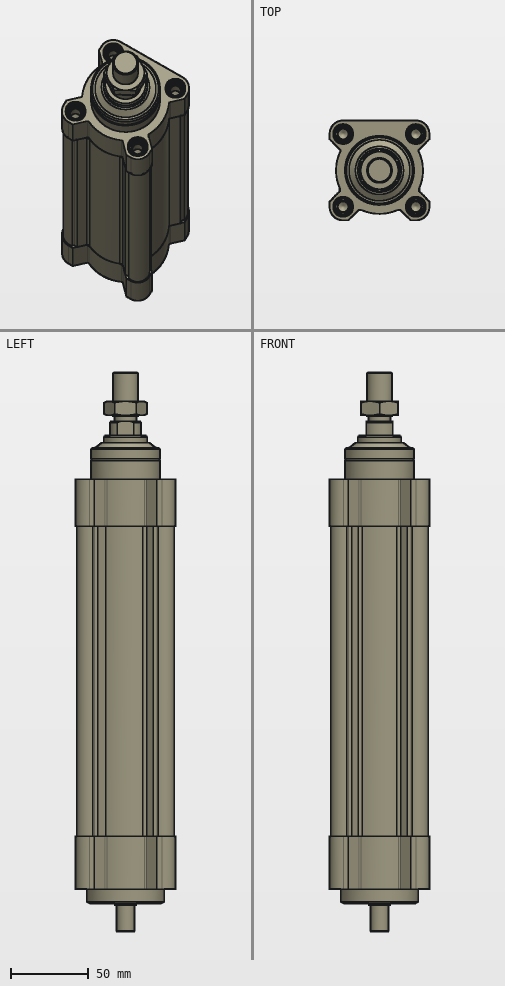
import cadquery as cq
import math

SHAFT_END_Z = 0.0
HUB_Z = 17.0
PILOT_BOTTOM_Z = 18.0
REAR_CAP_BOTTOM_Z = 27.2
TUBE_BOTTOM_Z = 61.0
TUBE_TOP_Z = 260.0
FRONT_CAP_TOP_Z = 290.0
GROOVE_Z = 302.0
COLLAR_TOP_Z = 310.0
WIPER_CONE_TOP_Z = 313.5
WIPER_TOP_Z = 318.0
ROD_SHOULDER_Z = 327.0
NECK_TOP_Z = 330.0
NUT_BOTTOM_Z = 331.0
NUT_HEIGHT = 9.0
ROD_END_Z = 358.5

CAP_WIDTH = 64.0
CAP_HALF_WIDTH = CAP_WIDTH / 2
TUBE_WIDTH = 62.7
TUBE_HALF_WIDTH = TUBE_WIDTH / 2
BODY_RADIUS = 28.0
BOLT_OFFSET = 23.3
CAP_FLAT_END = 20.0
CAP_VALLEY_FILLET = 1.0
TUBE_FLAT_INNER = 18.0
TUBE_LUG_ARC_END = 21.0
TUBE_FLAT_LEVEL = 30.0
TUBE_VALLEY_FLAT_END = 11.0

BOLT_RECESS_STEPS = [
    (13.0, 1.0),
    (12.0, 2.0),
    (10.0, 3.5),
    (8.0, 5.0),
    (6.8, 14.5),
]
DRILL_TIP_ANGLE = 118.0

COLLAR_DIAMETER = 44.5
COLLAR_CHAMFER = 1.0
GROOVE_WIDTH = 1.0
GROOVE_DEPTH = 0.5
WIPER_BASE_DIAMETER = 39.0
WIPER_CONE_TOP_DIAMETER = 31.0
WIPER_DIAMETER = 28.0
WIPER_CHAMFER = 1.0

ROD_DIAMETER = 20.0
ROD_SHOULDER_CHAMFER = 0.7
WRENCH_FLAT_WIDTH = 17.2
NECK_DIAMETER = 14.5
THREAD_DIAMETER = 16.0
THREAD_CHAMFER = 0.7
NUT_ACROSS_FLATS = 24.0
NUT_CHAMFER_ANGLE = 25.0

PILOT_DIAMETER = 50.0
PILOT_CHAMFER_WIDTH = 1.0
PILOT_CHAMFER_HEIGHT = 2.0
HUB_DIAMETER = 14.0
SHAFT_DIAMETER = 12.0
SHAFT_CHAMFER = 0.5

BOLT_POSITIONS = [(x, y) for x in (-BOLT_OFFSET, BOLT_OFFSET) for y in (-BOLT_OFFSET, BOLT_OFFSET)]


def arc_middle(centre, start, end):
    """Point halfway along the short arc about centre from start to end."""
    radius = math.dist(centre, start)
    dx = start[0] + end[0] - 2 * centre[0]
    dy = start[1] + end[1] - 2 * centre[1]
    length = math.hypot(dx, dy)
    return (centre[0] + radius * dx / length, centre[1] + radius * dy / length)


def valley_on_slope(slope_offset):
    """Where the body circle meets the 45 degree line y = x + slope_offset; y is the larger."""
    x = (-slope_offset + math.sqrt(2 * BODY_RADIUS**2 - slope_offset**2)) / 2
    return (x, x + slope_offset)


def cylinder(diameter, bottom, top):
    return cq.Workplane("XY").workplane(offset=bottom).circle(diameter / 2).extrude(top - bottom)


def cap_block(bottom, top):
    """Cap body: round middle, four bolt lugs, and a straight +Y side."""
    valley_x, valley_y = valley_on_slope(CAP_HALF_WIDTH - CAP_FLAT_END)
    body_start = (0, -BODY_RADIUS)
    front_valley = (valley_x, -valley_y)
    lug_centre = (BOLT_OFFSET, BOLT_OFFSET)
    lug_start = (BOLT_OFFSET, CAP_HALF_WIDTH)
    lug_end = (CAP_HALF_WIDTH, BOLT_OFFSET)
    lug_x, lug_y = arc_middle(lug_centre, lug_start, lug_end)
    half = (
        cq.Workplane("XY")
        .workplane(offset=bottom)
        .moveTo(*body_start)
        .threePointArc(arc_middle((0, 0), body_start, front_valley), front_valley)
        .lineTo(CAP_FLAT_END, -CAP_HALF_WIDTH)
        .lineTo(BOLT_OFFSET, -CAP_HALF_WIDTH)
        .threePointArc((lug_x, -lug_y), (CAP_HALF_WIDTH, -BOLT_OFFSET))
        .lineTo(CAP_HALF_WIDTH, -CAP_FLAT_END)
        .lineTo(valley_y, -valley_x)
        .threePointArc((BODY_RADIUS, 0), (valley_y, valley_x))
        .lineTo(CAP_HALF_WIDTH, CAP_FLAT_END)
        .lineTo(*lug_end)
        .threePointArc((lug_x, lug_y), lug_start)
        .lineTo(0, CAP_HALF_WIDTH)
        .close()
        .extrude(top - bottom)
    )
    valleys = [front_valley, (valley_y, -valley_x), (valley_y, valley_x)]
    middle = (bottom + top) / 2
    for x, y in valleys:
        half = half.edges(cq.selectors.NearestToPointSelector((x, y, middle))).fillet(CAP_VALLEY_FILLET)
    return half.union(half.mirror("YZ")).clean()


def bolt_recess():
    """Stepped recess with a drill point, cut into one front cap lug from its top."""
    profile = cq.Workplane("XZ").moveTo(0, 0)
    level = 0.0
    for diameter, depth in BOLT_RECESS_STEPS:
        profile = profile.lineTo(diameter / 2, -level).lineTo(diameter / 2, -depth)
        level = depth
    hole_radius = BOLT_RECESS_STEPS[-1][0] / 2
    tip_height = hole_radius / math.tan(math.radians(DRILL_TIP_ANGLE / 2))
    return profile.lineTo(0, -level - tip_height).close().revolve(360, (0, 0, 0), (0, 1, 0))


def make_front_cap():
    cap = cap_block(TUBE_TOP_Z, FRONT_CAP_TOP_Z)
    for x, y in BOLT_POSITIONS:
        cap = cap.cut(bolt_recess().translate((x, y, FRONT_CAP_TOP_Z)))
    collar = cylinder(COLLAR_DIAMETER, FRONT_CAP_TOP_Z, COLLAR_TOP_Z).faces(">Z").chamfer(COLLAR_CHAMFER)
    groove = cylinder(COLLAR_DIAMETER, GROOVE_Z, GROOVE_Z + GROOVE_WIDTH)
    groove = groove.cut(cylinder(COLLAR_DIAMETER - 2 * GROOVE_DEPTH, GROOVE_Z, GROOVE_Z + GROOVE_WIDTH))
    cone = cq.Workplane(
        cq.Solid.makeCone(
            WIPER_BASE_DIAMETER / 2,
            WIPER_CONE_TOP_DIAMETER / 2,
            WIPER_CONE_TOP_Z - COLLAR_TOP_Z,
            cq.Vector(0, 0, COLLAR_TOP_Z),
        )
    )
    wiper = cylinder(WIPER_DIAMETER, WIPER_CONE_TOP_Z, WIPER_TOP_Z).faces(">Z").chamfer(WIPER_CHAMFER)
    rod_bore = cylinder(ROD_DIAMETER, TUBE_TOP_Z, WIPER_TOP_Z)
    return cap.union(collar.cut(groove)).union(cone).union(wiper).cut(rod_bore)


def make_tube():
    """Profile tube: stepped lugs, straight +Y side, and flats beside the lower lugs."""
    slope_offset = TUBE_FLAT_LEVEL - TUBE_FLAT_INNER
    flat_x = TUBE_VALLEY_FLAT_END
    flat_y = math.sqrt(BODY_RADIUS**2 - flat_x**2)
    body_start = (0, -BODY_RADIUS)
    front_flat_start = (flat_x, -flat_y)
    sharp_x, sharp_y = valley_on_slope(slope_offset)
    lug_radius = TUBE_HALF_WIDTH - BOLT_OFFSET
    step_x = TUBE_LUG_ARC_END
    step_y = BOLT_OFFSET + math.sqrt(lug_radius**2 - (BOLT_OFFSET - step_x) ** 2)
    step_radius = step_y - TUBE_FLAT_LEVEL
    flat_end_x = step_x - step_radius
    step_mid_x = flat_end_x + step_radius / math.sqrt(2)
    step_mid_y = step_y - step_radius / math.sqrt(2)
    lug_middle = BOLT_OFFSET + lug_radius / math.sqrt(2)
    half = (
        cq.Workplane("XY")
        .workplane(offset=TUBE_BOTTOM_Z)
        .moveTo(*body_start)
        .threePointArc(arc_middle((0, 0), body_start, front_flat_start), front_flat_start)
        .lineTo(flat_y - slope_offset, -flat_y)
        .lineTo(TUBE_FLAT_INNER, -TUBE_FLAT_LEVEL)
        .lineTo(flat_end_x, -TUBE_FLAT_LEVEL)
        .threePointArc((step_mid_x, -step_mid_y), (step_x, -step_y))
        .threePointArc((lug_middle, -lug_middle), (step_y, -step_x))
        .threePointArc((step_mid_y, -step_mid_x), (TUBE_FLAT_LEVEL, -flat_end_x))
        .lineTo(TUBE_FLAT_LEVEL, -TUBE_FLAT_INNER)
        .lineTo(flat_y, slope_offset - flat_y)
        .lineTo(flat_y, -flat_x)
        .threePointArc((BODY_RADIUS, 0), (sharp_y, sharp_x))
        .lineTo(TUBE_FLAT_LEVEL, TUBE_FLAT_INNER)
        .lineTo(TUBE_FLAT_LEVEL, flat_end_x)
        .threePointArc((step_mid_y, step_mid_x), (step_y, step_x))
        .threePointArc((lug_middle, lug_middle), (BOLT_OFFSET, TUBE_HALF_WIDTH))
        .lineTo(0, TUBE_HALF_WIDTH)
        .close()
        .extrude(TUBE_TOP_Z - TUBE_BOTTOM_Z)
    )
    return half.union(half.mirror("YZ")).clean()


def make_rear_cap():
    cap = cap_block(REAR_CAP_BOTTOM_Z, TUBE_BOTTOM_Z)
    pilot = cylinder(PILOT_DIAMETER, PILOT_BOTTOM_Z, REAR_CAP_BOTTOM_Z)
    pilot = pilot.faces("<Z").chamfer(PILOT_CHAMFER_WIDTH, PILOT_CHAMFER_HEIGHT)
    hub = cylinder(HUB_DIAMETER, HUB_Z, PILOT_BOTTOM_Z)
    shaft = cylinder(SHAFT_DIAMETER, SHAFT_END_Z, HUB_Z).faces("<Z").chamfer(SHAFT_CHAMFER)
    return cap.union(pilot).union(hub).union(shaft)


def make_piston_rod():
    rod = cylinder(ROD_DIAMETER, TUBE_TOP_Z, ROD_SHOULDER_Z).faces(">Z").chamfer(ROD_SHOULDER_CHAMFER)
    flats = (
        cq.Workplane("XY")
        .workplane(offset=WIPER_TOP_Z)
        .rect(WRENCH_FLAT_WIDTH, ROD_DIAMETER)
        .extrude(ROD_SHOULDER_Z - WIPER_TOP_Z)
    )
    rod = rod.intersect(flats.union(cylinder(ROD_DIAMETER, TUBE_TOP_Z, WIPER_TOP_Z)))
    neck = cylinder(NECK_DIAMETER, ROD_SHOULDER_Z, NECK_TOP_Z)
    thread = cylinder(THREAD_DIAMETER, NECK_TOP_Z, ROD_END_Z).faces(">Z").chamfer(THREAD_CHAMFER)
    return rod.union(neck).union(thread)


def make_nut():
    """Hex nut with corners along Y, its corners turned down on both faces."""
    corner_diameter = 2 * NUT_ACROSS_FLATS / math.sqrt(3)
    chamfer_width = (corner_diameter - NUT_ACROSS_FLATS) / 2
    chamfer_height = chamfer_width * math.tan(math.radians(NUT_CHAMFER_ANGLE))
    hexagon = cq.Workplane("XY").polygon(6, corner_diameter).extrude(NUT_HEIGHT)
    hexagon = hexagon.rotate((0, 0, 0), (0, 0, 1), 90)
    turned = cylinder(corner_diameter, 0, NUT_HEIGHT).faces("<Z or >Z").chamfer(chamfer_height, chamfer_width)
    nut = hexagon.intersect(turned).cut(cylinder(THREAD_DIAMETER, 0, NUT_HEIGHT))
    return nut.translate((0, 0, NUT_BOTTOM_Z))


front_cap = make_front_cap()
tube = make_tube()
rear_cap = make_rear_cap()
piston_rod = make_piston_rod()
nut = make_nut()

result = cq.Compound.makeCompound(
    [front_cap.val(), tube.val(), rear_cap.val(), piston_rod.val(), nut.val()]
)